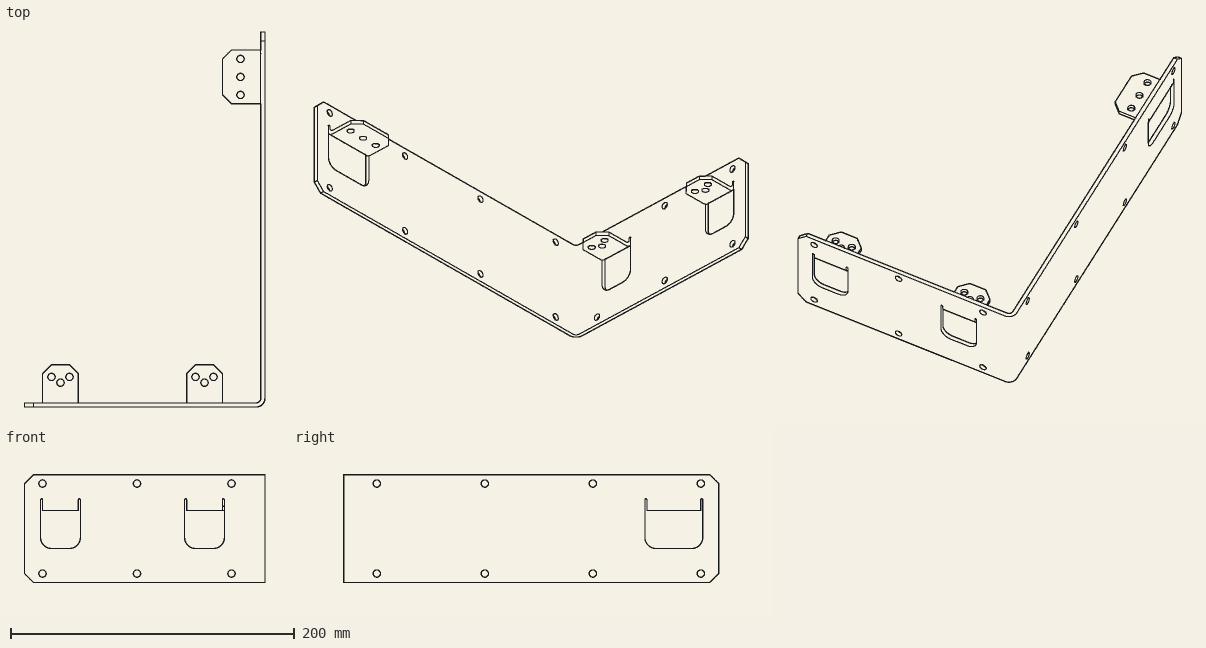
import cadquery as cq

thickness = 3.048
bend_radius = 3.175
outer_bend_radius = bend_radius + thickness
front_length = 169.69
side_length = 264.68
height = 76.2
corner_chamfer = 6.35

hole_diameter = 5.0
hole_end_offset = 12.7
hole_edge_offset = 6.35
front_hole_count = 3
front_hole_pitch = 66.675
side_hole_count = 4
side_hole_pitch = 76.2

tab_reach = 30.0
tab_chamfer = 6.35
tab_bottom = 50.8
tab_bend_start = tab_bottom + outer_bend_radius
window_gap = 1.27
window_bottom = 24.13
window_corner_radius = 7.62
relief_end_radius = 0.6
relief_height = 2.0
front_tab_width = 25.4
front_tab_positions = (25.4, 127.0)
front_tab_hole_spacing = 6.35
front_tab_outer_hole_setback = 8.7
front_tab_middle_hole_setback = 12.7
side_tab_width = 38.1
side_tab_end_offset = 31.75
side_tab_position = side_length - side_tab_end_offset
side_tab_hole_spacing = 12.7
side_tab_hole_setback = 12.7

front_tab_holes = (
    (-front_tab_hole_spacing, front_tab_outer_hole_setback),
    (0, front_tab_middle_hole_setback),
    (front_tab_hole_spacing, front_tab_outer_hole_setback),
)
side_tab_holes = (
    (-side_tab_hole_spacing, side_tab_hole_setback),
    (0, side_tab_hole_setback),
    (side_tab_hole_spacing, side_tab_hole_setback),
)


def place_on_front(shape, x_position):
    """Move a shape modelled on a wall at Y = 0, centred on X = 0, along the front leg."""
    return shape.translate((x_position, 0, 0))


def place_on_side(shape, y_position):
    """Turn a shape modelled on a wall at Y = 0 so that it sits on the side leg."""
    return shape.rotate((0, 0, 0), (0, 0, 1), 90).translate((front_length, y_position, 0))


def bent_strip():
    """L-shaped sheet with one vertical bend and both legs at full height."""
    strip = (
        cq.Workplane("XY")
        .polyline([
            (0, 0),
            (front_length, 0),
            (front_length, side_length),
            (front_length - thickness, side_length),
            (front_length - thickness, thickness),
            (0, thickness),
        ])
        .close()
        .extrude(height)
    )
    outer_corner = cq.selectors.NearestToPointSelector((front_length, 0, height / 2))
    strip = strip.edges(outer_corner).fillet(outer_bend_radius)
    inner_corner = cq.selectors.NearestToPointSelector((front_length - thickness, thickness, height / 2))
    strip = strip.edges(inner_corner).fillet(bend_radius)
    strip = strip.faces("<X").edges("|Y").chamfer(corner_chamfer)
    return strip.faces(">Y").edges("|X").chamfer(corner_chamfer)


def wall_hole_pair():
    """Cutters for the upper and lower mounting hole at one station of a wall."""
    return (
        cq.Workplane("XZ")
        .pushPoints([(0, hole_edge_offset), (0, height - hole_edge_offset)])
        .circle(hole_diameter / 2)
        .extrude(-thickness)
    )


def window(tab_width):
    """Cutter for the opening below a tab, with a relief slot at each end of the bend."""
    width = tab_width + 2 * window_gap
    opening = (
        cq.Workplane("XY")
        .box(width, thickness, tab_bend_start - window_bottom, centered=(True, False, False))
        .edges("|Y and <Z")
        .fillet(window_corner_radius)
        .translate((0, 0, window_bottom))
    )
    relief_offset = (tab_width + window_gap) / 2
    reliefs = (
        cq.Workplane("XY")
        .pushPoints([(-relief_offset, 0), (relief_offset, 0)])
        .box(window_gap, thickness, relief_height, centered=(True, False, False))
        .edges("|Y and >Z")
        .fillet(relief_end_radius)
        .translate((0, 0, tab_bend_start))
    )
    return opening.union(reliefs)


def tab(tab_width, holes):
    """Tab folded toward +Y; holes are (offset from the middle, distance from the tip)."""
    bend_end = thickness + bend_radius
    flat = (
        cq.Workplane("XY")
        .box(tab_width, tab_reach - bend_end, thickness, centered=(True, False, False))
        .translate((0, bend_end, tab_bottom))
        .faces(">Y")
        .edges("|Z")
        .chamfer(tab_chamfer)
    )
    hole_cutters = (
        cq.Workplane("XY", origin=(0, 0, tab_bottom))
        .pushPoints([(offset, tab_reach - setback) for offset, setback in holes])
        .circle(hole_diameter / 2)
        .extrude(thickness)
    )
    ring = (
        cq.Workplane("YZ", origin=(-tab_width / 2, 0, 0))
        .center(bend_end, tab_bend_start)
        .circle(outer_bend_radius)
        .circle(bend_radius)
        .extrude(tab_width)
    )
    quadrant = (
        cq.Workplane("XY")
        .box(tab_width, bend_end, outer_bend_radius, centered=(True, False, False))
        .translate((0, 0, tab_bottom))
    )
    return flat.cut(hole_cutters).union(ring.intersect(quadrant))


result = bent_strip()

for index in range(front_hole_count):
    station = hole_end_offset + index * front_hole_pitch
    result = result.cut(place_on_front(wall_hole_pair(), station))

for index in range(side_hole_count):
    station = side_length - hole_end_offset - index * side_hole_pitch
    result = result.cut(place_on_side(wall_hole_pair(), station))

for tab_position in front_tab_positions:
    result = result.cut(place_on_front(window(front_tab_width), tab_position))
    result = result.union(place_on_front(tab(front_tab_width, front_tab_holes), tab_position))

result = result.cut(place_on_side(window(side_tab_width), side_tab_position))
result = result.union(place_on_side(tab(side_tab_width, side_tab_holes), side_tab_position))